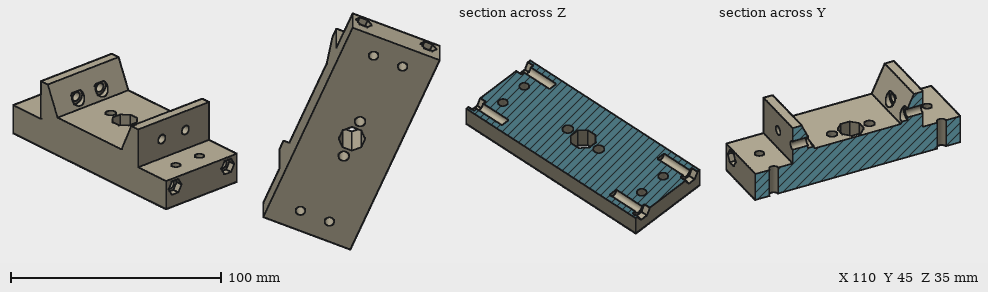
import cadquery as cq
import math

length = 110.0
width = 45.0
height = 35.0
base_height = 15.0
cradle_floor = 20.0
wall_outer_x = 35.0
wall_top_inner_x = 30.0
wall_foot_x = 23.0

screw_diameter = 4.5
screw_y = 7.5
flange_hole_x = (length / 2 + wall_outer_x) / 2
wall_hole_z = (base_height + height) / 2

counterbore_diameter = 7.5
counterbore_floor_x = 26.6

octagon_across_flats = 11.7
centre_hole_diameter = 5.1
centre_hole_x = 10.0
centre_y = -0.2

nut_across_corners = 8.1
nut_depth = 3.5
nut_y = 16.7
nut_z = 10.0
end_screw_depth = 20.0


def make_body():
    """Extrude the side profile across the full width."""
    right_half = [
        (length / 2, 0),
        (length / 2, base_height),
        (wall_outer_x, base_height),
        (wall_outer_x, height),
        (wall_top_inner_x, height),
        (wall_foot_x, cradle_floor),
    ]
    left_half = [(-x, z) for x, z in reversed(right_half)]
    profile = cq.Workplane("XZ").polyline(right_half + left_half).close()
    return profile.extrude(width / 2, both=True)


def vertical_holes(points, diameter):
    return cq.Workplane("XY").pushPoints(points).circle(diameter / 2).extrude(height)


def octagon_opening():
    """Regular octagonal prism with flats facing X and Y."""
    across_corners = octagon_across_flats / math.cos(math.pi / 8)
    half_sector = 180 / 8
    octagon = cq.Workplane("XY").polygon(8, across_corners).extrude(height)
    return octagon.rotate((0, 0, 0), (0, 0, 1), half_sector).translate((0, centre_y, 0))


def wall_holes():
    """Screw holes through both walls, counterbored from inside the cradle."""
    points = [(-screw_y, wall_hole_z), (screw_y, wall_hole_z)]
    plane = cq.Workplane("YZ").pushPoints(points)
    screws = plane.circle(screw_diameter / 2).extrude(length / 2, both=True)
    heads = plane.circle(counterbore_diameter / 2).extrude(counterbore_floor_x, both=True)
    return screws.union(heads)


def end_fastener(side):
    """Nut pockets and blind screw holes in one end; side is -1 or 1."""
    points = [(-nut_y, nut_z), (nut_y, nut_z)]
    plane = cq.Workplane("YZ", origin=(side * length / 2, 0, 0)).pushPoints(points)
    nuts = plane.polygon(6, nut_across_corners).extrude(-side * nut_depth)
    screws = plane.circle(screw_diameter / 2).extrude(-side * end_screw_depth)
    return nuts.union(screws)


flange_points = [(x, y) for x in (-flange_hole_x, flange_hole_x) for y in (-screw_y, screw_y)]
centre_points = [(-centre_hole_x, centre_y), (centre_hole_x, centre_y)]

result = make_body()
result = result.cut(vertical_holes(flange_points, screw_diameter))
result = result.cut(vertical_holes(centre_points, centre_hole_diameter))
result = result.cut(octagon_opening())
result = result.cut(wall_holes())
for end in (-1, 1):
    result = result.cut(end_fastener(end))